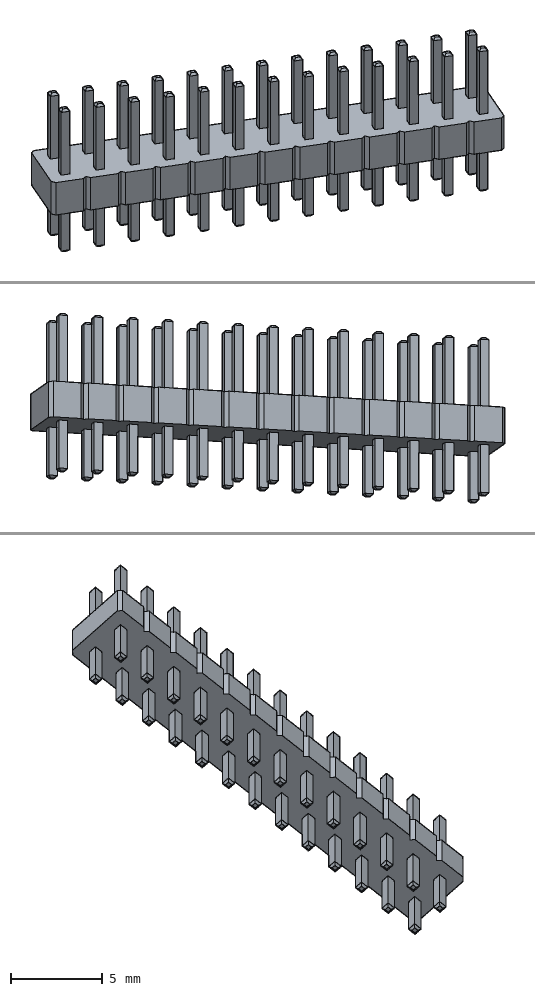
import cadquery as cq

row_count = 13
column_count = 2
body_length = 26.0
corner_chamfer = 0.2
pin_width = 0.5
pin_below_body = 2.8
tip_chamfer = 0.13

pitch = body_length / row_count
body_width = column_count * pitch
body_height = pitch

pin_above_body = 2 * pitch
pin_length = pin_below_body + body_height + pin_above_body


def body_cell(y):
    """One row's block, centred on y; its chamfered corners form the side notches."""
    return (
        cq.Workplane("XY")
        .box(body_width, pitch, body_height, centered=(True, True, False))
        .edges("|Z")
        .chamfer(corner_chamfer)
        .translate((0, y, 0))
    )


def pin(x, y):
    """Square pin through the body, chamfered at both ends."""
    return (
        cq.Workplane("XY")
        .box(pin_width, pin_width, pin_length, centered=(True, True, False))
        .faces("<Z or >Z")
        .chamfer(tip_chamfer)
        .translate((x, y, -pin_below_body))
    )


def centred_positions(count):
    """Positions one pitch apart, centred on zero."""
    return [(i - (count - 1) / 2) * pitch for i in range(count)]


result = cq.Workplane("XY")
for row_y in centred_positions(row_count):
    result = result.union(body_cell(row_y))
    for column_x in centred_positions(column_count):
        result = result.union(pin(column_x, row_y))